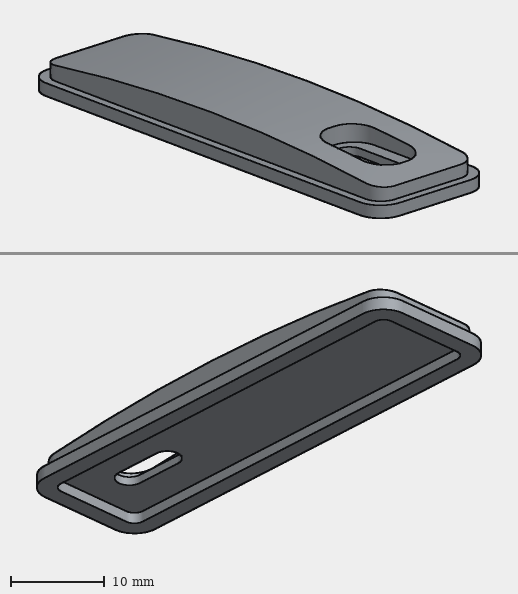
import cadquery as cq

base_length = 55.4
base_width = 16.25
base_height = 1.5
base_corner_radius = 3.0

total_height = 4.7
pad_inset = 1.1
pad_length = base_length - 2 * pad_inset
pad_width = base_width - 2 * pad_inset
pad_corner_radius = 2.2
pad_end_height = 3.05

slot_x = 17.2
slot_length = 9.05
slot_width = 3.15
recess_margin = 1.1
recess_length = slot_length + 2 * recess_margin
recess_width = 6.8
recess_corner_radius = 3.0
web_thickness = 1.0
web_top = 2.25
web_bottom = web_top - web_thickness

tray_wall = web_thickness
tray_length = pad_length - 2 * tray_wall
tray_width = pad_width - 2 * tray_wall
tray_corner_radius = pad_corner_radius - tray_wall


def rounded_block(length, width, height, radius):
    block = cq.Workplane("XY").box(length, width, height, centered=(True, True, False))
    return block.edges("|Z").fillet(radius)


def crown_envelope():
    """Solid below the crown arc, which runs along X from end to end of the pad."""
    return (
        cq.Workplane("XZ")
        .moveTo(-pad_length / 2, 0)
        .lineTo(-pad_length / 2, pad_end_height)
        .threePointArc((0, total_height), (pad_length / 2, pad_end_height))
        .lineTo(pad_length / 2, 0)
        .close()
        .extrude(pad_width / 2, both=True)
    )


base = rounded_block(base_length, base_width, base_height, base_corner_radius)
pad = rounded_block(pad_length, pad_width, total_height, pad_corner_radius).intersect(crown_envelope())

slot = cq.Workplane("XY").center(slot_x, 0).slot2D(slot_length, slot_width).extrude(total_height)
recess = rounded_block(
    recess_length, recess_width, total_height - web_top, recess_corner_radius
).translate((slot_x, 0, web_top))
tray = rounded_block(tray_length, tray_width, web_bottom, tray_corner_radius)

result = base.union(pad).cut(slot).cut(recess).cut(tray)